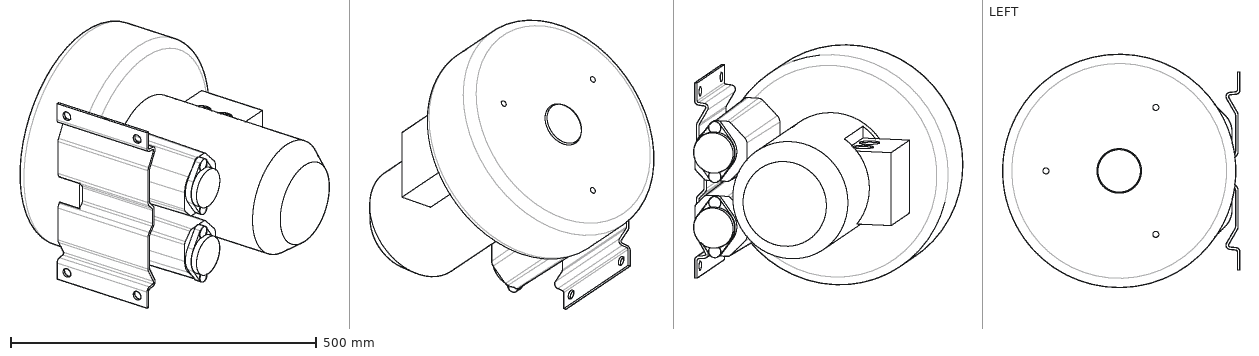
import cadquery as cq
import math


casing_radius = 191.1
casing_edge_radius = 15.0
casing_length = 125.8

boss_base_radius = 36.5
boss_top_radius = 35.0
boss_height = 3.0

front_hole_count = 3
front_hole_circle_radius = 120.0
front_hole_radius = 5.0
front_hole_depth = 18.0
drill_tip_half_angle = 59.0

overall_length = 446.0
motor_radius = 97.45
motor_end_radius = 70.5
motor_end = overall_length - boss_height
motor_cone_length = 36.5

box_start = 143.0
box_length = 121.8
box_inner_y = 55.5
box_outer_y = 134.2
box_top_z = 60.5
gland_radius = 16.5
gland_y = 76.5
gland_first_x = 182.5
gland_spacing = 42.5
gland_depth = 2.2

duct_centre_y = -144.5
duct_centre_z = 62.5
duct_root = 105.5
duct_end = 329.0
duct_draft = 1.0
duct_inner_y = -93.0
duct_outer_y = -181.0
duct_low_z = 12.5
duct_high_z = 112.5
duct_inner_bevel = 30.0
duct_outer_bevel = 34.5
duct_low_bevel = 17.5
duct_corner_radius = 6.5
duct_inner_corner_radius = 11.0
duct_outer_corner_radius = 35.0

flange_thickness = 11.0
flange_radius = 34.5
flange_ear_radius = 10.3
flange_ear_offset = 40.5
ear_pad_height = 1.5
pipe_radius = 33.5
pipe_length = 10.3

sheet = 4.5
bracket_start = 86.0
bracket_length = 179.7
bracket_half_height = 162.5
foot_y = -195.55
panel_y = -192.5
web_y = -179.7
panel_low_z = 28.5
panel_high_z = 93.0
arm_outer_z = 128.0
arm_tilt = 5.5
slope_angle = 30.0
bend_radius = 6.2
foot_bend_radius = 2.5
notch_half_height = 23.0
foot_hole_radius = 7.5
foot_hole_z = 145.0
foot_hole_first_x = 105.5
foot_hole_spacing = 140.0


def rounded_outline(plane, points, radii):
    """Closed polygon on the plane, with each corner rounded to its own radius (0 = sharp)."""
    starts, middles, ends = [], [], []
    for i, point in enumerate(points):
        corner = cq.Vector(*point)
        to_last = (cq.Vector(*points[i - 1]) - corner).normalized()
        to_next = (cq.Vector(*points[(i + 1) % len(points)]) - corner).normalized()
        half_angle = to_last.getAngle(to_next) / 2
        setback = radii[i] / math.tan(half_angle)
        inward = (to_last + to_next).normalized()
        starts.append(corner + to_last * setback)
        middles.append(corner + inward * (radii[i] / math.sin(half_angle) - radii[i]))
        ends.append(corner + to_next * setback)

    outline = cq.Workplane(plane).moveTo(ends[-1].x, ends[-1].y)
    for start, middle, end, radius in zip(starts, middles, ends, radii):
        outline = outline.lineTo(start.x, start.y)
        if radius > 0:
            outline = outline.threePointArc((middle.x, middle.y), (end.x, end.y))
    return outline.close()


def cross_plane(x):
    """Plane across the shaft axis at x: local x is Y, local y is Z, normal is +X."""
    return cq.Plane(origin=(x, 0, 0), xDir=(0, 1, 0), normal=(1, 0, 0))


def disc(x, length, radius):
    return cq.Workplane(cross_plane(x)).circle(radius).extrude(length)


def turned(profile):
    """Solid of revolution about the shaft axis, from a profile of (x, radius) points."""
    return cq.Workplane("XY").polyline(profile).close().revolve(360, (0, 0, 0), (1, 0, 0))


def both_sides(upper):
    """The upper shape together with its mirror image in Z = 0."""
    return upper.union(upper.mirror("XY"))



def make_drum():
    """Rounded drum, with its rear edge filled out square between the two ducts."""
    block = disc(0, casing_length, casing_radius)
    depth = casing_length - duct_root
    fill_zone = cq.Workplane("XY").box(depth, casing_radius, 2 * duct_centre_z, centered=(False, False, True))
    fill = block.intersect(fill_zone.translate((duct_root, -casing_radius, 0)))
    return block.edges("%CIRCLE").fillet(casing_edge_radius).union(fill)


def make_boss():
    profile = [
        (-boss_height, 0),
        (-boss_height, boss_top_radius),
        (0, boss_base_radius),
        (0, 0),
    ]
    return turned(profile)


def make_front_hole():
    """Drilled blind hole with a conical bottom, on the shaft axis."""
    tip = front_hole_radius / math.tan(math.radians(drill_tip_half_angle))
    profile = [
        (0, 0),
        (0, front_hole_radius),
        (front_hole_depth, front_hole_radius),
        (front_hole_depth + tip, 0),
    ]
    return turned(profile)


def make_duct():
    """Upper duct, drafted so that it narrows toward its flange."""
    points = [
        (duct_inner_y - duct_inner_bevel, duct_low_z),
        (duct_inner_y, duct_low_z + duct_inner_bevel),
        (duct_inner_y, duct_high_z - duct_inner_bevel),
        (duct_inner_y - duct_inner_bevel, duct_high_z),
        (duct_outer_y + duct_outer_bevel, duct_high_z),
        (duct_outer_y, duct_high_z - duct_outer_bevel),
        (duct_outer_y, duct_low_z + duct_low_bevel),
        (duct_outer_y + duct_low_bevel, duct_low_z),
    ]
    radii = [duct_corner_radius] * len(points)
    radii[1] = duct_inner_corner_radius
    radii[2] = duct_inner_corner_radius
    radii[5] = duct_outer_corner_radius
    outline = rounded_outline(cross_plane(duct_end), points, radii)
    return outline.extrude(duct_root - duct_end, taper=-duct_draft)


def make_flange():
    """Oval flange: a disc and two small ears, joined by their common tangents."""
    ear_angle = math.asin((flange_radius - flange_ear_radius) / flange_ear_offset)
    tangent_y = math.cos(ear_angle)
    tangent_z = math.sin(ear_angle)
    side_y = flange_radius * tangent_y
    side_z = flange_radius * tangent_z
    ear_y = flange_ear_radius * tangent_y
    ear_z = flange_ear_offset + flange_ear_radius * tangent_z
    ear_tip_z = flange_ear_offset + flange_ear_radius
    return (
        cq.Workplane(cross_plane(duct_end))
        .center(duct_centre_y, duct_centre_z)
        .moveTo(side_y, side_z)
        .lineTo(ear_y, ear_z)
        .threePointArc((0, ear_tip_z), (-ear_y, ear_z))
        .lineTo(-side_y, side_z)
        .threePointArc((-flange_radius, 0), (-side_y, -side_z))
        .lineTo(-ear_y, -ear_z)
        .threePointArc((0, -ear_tip_z), (ear_y, -ear_z))
        .lineTo(side_y, -side_z)
        .threePointArc((flange_radius, 0), (side_y, side_z))
        .close()
        .extrude(flange_thickness)
    )


def make_ear_pads():
    """Round pads that stand slightly proud of the flange on its two ears."""
    return (
        cq.Workplane(cross_plane(duct_end))
        .center(duct_centre_y, duct_centre_z)
        .pushPoints([(0, -flange_ear_offset), (0, flange_ear_offset)])
        .circle(flange_ear_radius)
        .extrude(flange_thickness + ear_pad_height)
    )


def make_pipe():
    return disc(duct_end, flange_thickness + pipe_length, pipe_radius).translate(
        (0, duct_centre_y, duct_centre_z)
    )


def make_casing():
    upper_duct = make_duct().union(make_flange()).union(make_ear_pads()).union(make_pipe())
    duct_set = both_sides(upper_duct)
    casing = make_drum().union(make_boss()).union(duct_set)
    hole = make_front_hole().translate((0, front_hole_circle_radius, 0))
    for i in range(front_hole_count):
        casing = casing.cut(hole.rotate((0, 0, 0), (1, 0, 0), i * 360 / front_hole_count))
    return casing



def box_block(low_z, high_z):
    """Block with the terminal box's outline in X and Y, between two heights."""
    block = cq.Workplane("XY").box(
        box_length, box_outer_y - box_inner_y, high_z - low_z, centered=False
    )
    return block.translate((box_start, box_inner_y, low_z))


def make_motor():
    """Motor frame with a tapered end, joined to its terminal box."""
    profile = [
        (casing_length, 0),
        (casing_length, motor_radius),
        (motor_end - motor_cone_length, motor_radius),
        (motor_end, motor_end_radius),
        (motor_end, 0),
    ]
    frame = turned(profile).cut(box_block(box_top_z, motor_radius))
    gland_recesses = (
        cq.Workplane("XY", origin=(gland_first_x, gland_y, box_top_z - gland_depth))
        .pushPoints([(0, 0), (gland_spacing, 0)])
        .circle(gland_radius)
        .extrude(gland_depth)
    )
    return frame.union(box_block(-box_top_z, box_top_z)).cut(gland_recesses)



def offset_path(path, distance):
    """Open path moved sideways by the distance, with mitred corners."""
    points = [cq.Vector(*p) for p in path]
    normals = []
    for a, b in zip(points, points[1:]):
        along = (b - a).normalized()
        normals.append(cq.Vector(-along.y, along.x))
    moved = [points[0] + normals[0] * distance]
    for point, last, following in zip(points[1:], normals, normals[1:]):
        miter = last + following
        moved.append(point + miter * (distance / miter.dot(last)))
    moved.append(points[-1] + normals[-1] * distance)
    return [(p.x, p.y) for p in moved]


def make_bracket_strip():
    """Bent sheet: web, then panel, sloped wall, arm and foot on either side."""
    web_z = panel_low_z - (web_y - panel_y)
    tan_slope = math.tan(math.radians(slope_angle))
    tan_arm = math.tan(math.radians(arm_tilt))
    arm_at_panel_z = arm_outer_z - (panel_y - foot_y) * tan_arm
    wall_height = (arm_at_panel_z - panel_high_z) / (1 + tan_slope * tan_arm)
    upper = [
        (web_y, web_z),
        (panel_y, panel_low_z),
        (panel_y, panel_high_z),
        (panel_y + wall_height * tan_slope, panel_high_z + wall_height),
        (foot_y, arm_outer_z),
        (foot_y, bracket_half_height),
    ]
    lower = [(y, -z) for y, z in reversed(upper)]
    path = lower + upper

    upper_radii = [bend_radius] * 3 + [foot_bend_radius] * 2
    inner_radii = upper_radii[::-1] + upper_radii
    upper_turns = [1, -1, -1, 1, -1]
    turns = upper_turns[::-1] + upper_turns
    left_radii = [r if turn > 0 else r + sheet for r, turn in zip(inner_radii, turns)]
    right_radii = [r + sheet if turn > 0 else r for r, turn in zip(inner_radii, turns)]

    left = offset_path(path, sheet / 2)
    right = offset_path(path, -sheet / 2)
    points = left + right[::-1]
    radii = [0, *left_radii, 0, 0, *right_radii[::-1], 0]
    return rounded_outline(cross_plane(bracket_start), points, radii).extrude(bracket_length)


def make_bracket():
    """Bent strip, notched to clear the drum, with two holes in each foot."""
    strip = make_bracket_strip()
    notch = cq.Workplane("XY").box(
        casing_length - bracket_start, casing_radius, 2 * notch_half_height, centered=(False, False, True)
    )
    strip = strip.cut(notch.translate((bracket_start, foot_y - sheet, 0)))
    strip = strip.cut(disc(bracket_start, casing_length - bracket_start, casing_radius))
    hole_places = [
        (foot_hole_first_x + i * foot_hole_spacing, side * foot_hole_z)
        for i in range(2)
        for side in (-1, 1)
    ]
    holes = (
        cq.Workplane("XZ", origin=(0, foot_y + sheet, 0))
        .pushPoints(hole_places)
        .circle(foot_hole_radius)
        .extrude(2 * sheet)
    )
    return strip.cut(holes)


casing = make_casing()
motor = make_motor()
bracket = make_bracket()

result = cq.Compound.makeCompound([casing.solids().val(), motor.solids().val(), bracket.solids().val()])